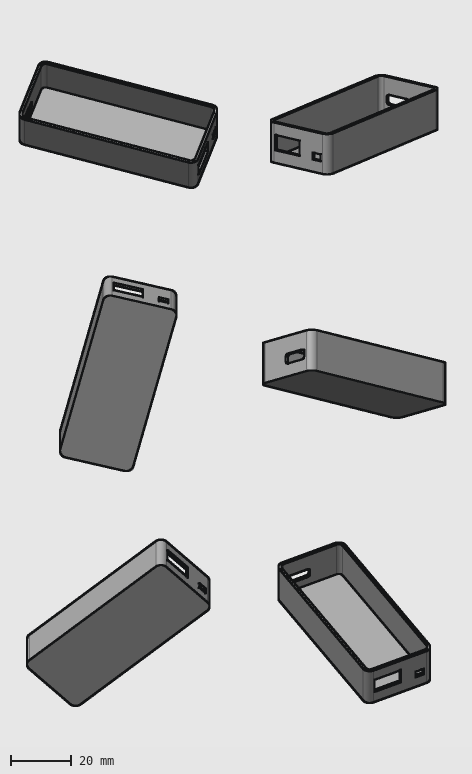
import cadquery as cq

LENGTH = 62.0
WIDTH = 25.0
HEIGHT = 14.0
WALL = 1.0
FLOOR = 1.0
CORNER_RADIUS = 2.5

SLOT_WIDTH = 9.0
SLOT_HEIGHT = 3.4
SLOT_RADIUS = 1.0
SLOT_Y = -SLOT_WIDTH / 2
SLOT_Z = 6.15

WINDOW_WIDTH = 10.0
WINDOW_HEIGHT = 5.35
WINDOW_Y = SLOT_Y
WINDOW_SILL = 4.45
WINDOW_Z = WINDOW_SILL + WINDOW_HEIGHT / 2

SMALL_WINDOW_WIDTH = 3.2
SMALL_WINDOW_HEIGHT = 2.4
SMALL_WINDOW_Y = 7.55
SMALL_WINDOW_SILL = 4.3
SMALL_WINDOW_Z = SMALL_WINDOW_SILL + SMALL_WINDOW_HEIGHT / 2

END_WALL_X = (LENGTH - WALL) / 2
CUTTER_DEPTH = 2 * WALL


def rounded_block(length, width, height, radius, base_z):
    """Upright block with rounded vertical edges."""
    block = cq.Workplane("XY").box(length, width, height, centered=(True, True, False))
    return block.edges("|Z").fillet(radius).translate((0, 0, base_z))


def wall_cutter(x, y, z, width, height):
    """Rectangular cutter through an end wall."""
    return cq.Workplane("XY").box(CUTTER_DEPTH, width, height).translate((x, y, z))


def tray():
    outside = rounded_block(LENGTH, WIDTH, HEIGHT, CORNER_RADIUS, 0)
    cavity = rounded_block(LENGTH - 2 * WALL, WIDTH - 2 * WALL, HEIGHT, CORNER_RADIUS - WALL, FLOOR)
    return outside.cut(cavity)


slot_block = wall_cutter(-END_WALL_X, SLOT_Y, SLOT_Z, SLOT_WIDTH, SLOT_HEIGHT)
slot = slot_block.edges("|X").fillet(SLOT_RADIUS)
window = wall_cutter(END_WALL_X, WINDOW_Y, WINDOW_Z, WINDOW_WIDTH, WINDOW_HEIGHT)
small_window = wall_cutter(
    END_WALL_X, SMALL_WINDOW_Y, SMALL_WINDOW_Z, SMALL_WINDOW_WIDTH, SMALL_WINDOW_HEIGHT
)

result = tray().cut(slot).cut(window).cut(small_window)